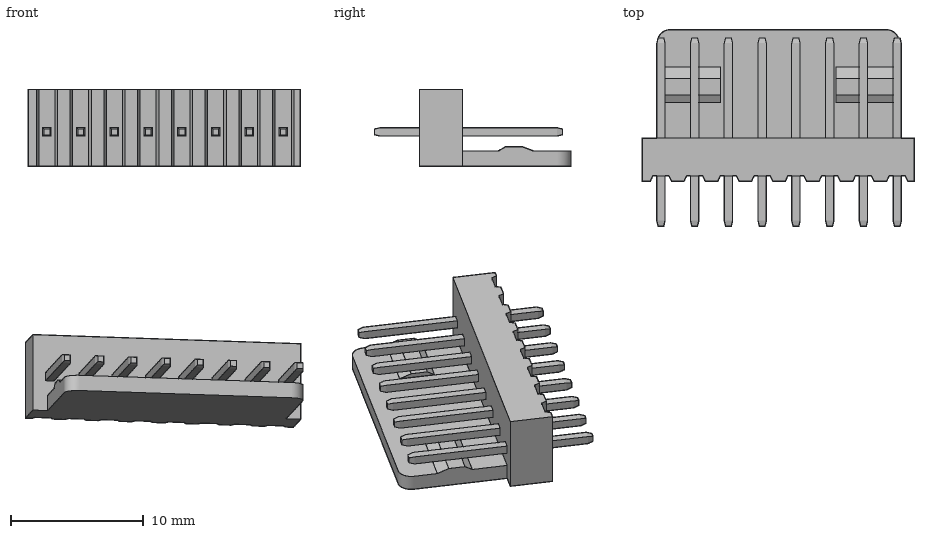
import cadquery as cq

BODY_LENGTH = 20.48
BODY_DEPTH = 3.25
BODY_HEIGHT = 5.8

PIN_COUNT = 8
PIN_PITCH = 2.54
PIN_ROW_OFFSET = 0.06
PIN_SIZE = 0.63
PIN_TIP_SIZE = 0.43
PIN_TIP_LENGTH = 0.4
PIN_HEIGHT = 2.6
PIN_FRONT_Y = -3.38
PIN_BACK_Y = 10.8

GROOVE_MOUTH = 1.6
GROOVE_ROOT = 1.2
GROOVE_DEPTH = 0.4

PLATE_WIDTH = 18.23
PLATE_THICKNESS = 1.17
PLATE_BACK_Y = 11.43
PLATE_CORNER_RADIUS = 1.0

RIDGE_LENGTH = 4.77
RIDGE_RISE = 0.33
RIDGE_START_Y = 5.94
RIDGE_TOP_START_Y = 6.5
RIDGE_TOP_END_Y = 7.75
RIDGE_END_Y = 8.62

row_start = PIN_ROW_OFFSET - PIN_PITCH * (PIN_COUNT - 1) / 2
pin_positions = [row_start + PIN_PITCH * i for i in range(PIN_COUNT)]


def make_body():
    return cq.Workplane("XY").box(
        BODY_LENGTH, BODY_DEPTH, BODY_HEIGHT, centered=(True, False, False)
    )


def make_groove(x):
    """Trapezoidal cutter through the full height, narrowing towards its root."""
    outline = [
        (x - GROOVE_MOUTH / 2, 0),
        (x + GROOVE_MOUTH / 2, 0),
        (x + GROOVE_ROOT / 2, GROOVE_DEPTH),
        (x - GROOVE_ROOT / 2, GROOVE_DEPTH),
    ]
    return cq.Workplane("XY").polyline(outline).close().extrude(BODY_HEIGHT)


def make_plate():
    """Plate from the back of the body, with its two far corners rounded."""
    plate_length = PLATE_BACK_Y - BODY_DEPTH
    plate = cq.Workplane("XY").box(
        PLATE_WIDTH, plate_length, PLATE_THICKNESS, centered=(True, False, False)
    )
    plate = plate.edges("|Z and >Y").fillet(PLATE_CORNER_RADIUS)
    return plate.translate((0, BODY_DEPTH, 0))


def make_ridge(x_start):
    """Ramped ridge running in +X from x_start; its foot reaches down to the plate underside."""
    profile = [
        (RIDGE_START_Y, 0),
        (RIDGE_START_Y, PLATE_THICKNESS),
        (RIDGE_TOP_START_Y, PLATE_THICKNESS + RIDGE_RISE),
        (RIDGE_TOP_END_Y, PLATE_THICKNESS + RIDGE_RISE),
        (RIDGE_END_Y, PLATE_THICKNESS),
        (RIDGE_END_Y, 0),
    ]
    ridge = cq.Workplane("YZ").polyline(profile).close().extrude(RIDGE_LENGTH)
    return ridge.translate((x_start, 0, 0))


def make_pin_tip(x, base_y, direction):
    """Square taper from the pin section; direction is +1 for +Y and -1 for -Y."""
    base = cq.Plane(origin=(x, base_y, PIN_HEIGHT), xDir=(1, 0, 0), normal=(0, direction, 0))
    return (
        cq.Workplane(base)
        .rect(PIN_SIZE, PIN_SIZE)
        .workplane(offset=PIN_TIP_LENGTH)
        .rect(PIN_TIP_SIZE, PIN_TIP_SIZE)
        .loft(ruled=True)
    )


def make_pin(x):
    shank_front = PIN_FRONT_Y + PIN_TIP_LENGTH
    shank_back = PIN_BACK_Y - PIN_TIP_LENGTH
    shank = cq.Workplane("XY").box(
        PIN_SIZE, shank_back - shank_front, PIN_SIZE, centered=(True, False, True)
    )
    shank = shank.translate((x, shank_front, PIN_HEIGHT))
    front_tip = make_pin_tip(x, shank_front, -1)
    back_tip = make_pin_tip(x, shank_back, 1)
    return shank.union(front_tip).union(back_tip)


result = make_body()
for pin_x in pin_positions:
    result = result.cut(make_groove(pin_x))

result = result.union(make_plate())
for ridge_x in (-PLATE_WIDTH / 2, PLATE_WIDTH / 2 - RIDGE_LENGTH):
    result = result.union(make_ridge(ridge_x))

for pin_x in pin_positions:
    result = result.union(make_pin(pin_x))